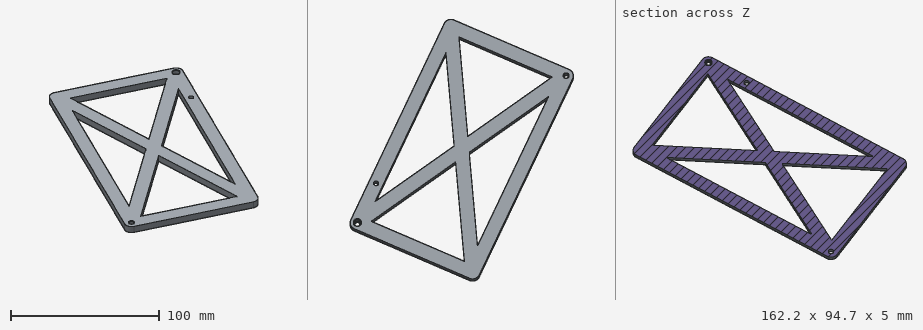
import cadquery as cq
import math

length = 162.2
width = 94.7
thickness = 5.0
corner_radius = 4.9

rim = 9.5
brace_width = 9.7

hole_inset = 4.9
hole_diameter = 3.2
counterbore_diameter = 4.7
counterbore_depth = 3.4
mouth_chamfer = 0.4
side_hole_spacing = 30.5

hole_x = length / 2 - hole_inset
hole_y = width / 2 - hole_inset

brace_angle = math.degrees(math.atan2(hole_y, hole_x))


def make_plate():
    plate = cq.Workplane("XY").box(length, width, thickness, centered=(True, True, False))
    return plate.edges("|Z").fillet(corner_radius)


def make_brace(angle):
    """Bar through the plate centre, long enough to run past the window corners."""
    brace = cq.Workplane("XY").box(2 * length, brace_width, thickness, centered=(True, True, False))
    return brace.rotate((0, 0, 0), (0, 0, 1), angle)


def make_windows():
    """Four triangular openings left between the rim and the braces."""
    windows = cq.Workplane("XY").box(
        length - 2 * rim, width - 2 * rim, thickness, centered=(True, True, False)
    )
    for angle in (brace_angle, -brace_angle):
        windows = windows.cut(make_brace(angle))
    return windows


def make_cylinder(x, y, diameter, bottom):
    """Vertical cylinder from the given height up to the top face."""
    base = cq.Workplane("XY", origin=(x, y, bottom))
    return base.circle(diameter / 2).extrude(thickness - bottom)


def make_mouth(x, y, diameter):
    """Cone that chamfers the top edge of a hole of the given diameter."""
    base = cq.Workplane("XY", origin=(x, y, thickness - mouth_chamfer))
    return base.circle(diameter / 2).extrude(mouth_chamfer, taper=-45)


def make_holes():
    """Counterbored and plain holes in opposite corners, both chamfered, and an unchamfered side hole."""
    counterbore_floor = thickness - counterbore_depth
    return [
        make_cylinder(-hole_x, hole_y, hole_diameter, 0),
        make_cylinder(-hole_x, hole_y, counterbore_diameter, counterbore_floor),
        make_mouth(-hole_x, hole_y, counterbore_diameter),
        make_cylinder(hole_x, -hole_y, hole_diameter, 0),
        make_mouth(hole_x, -hole_y, hole_diameter),
        make_cylinder(-hole_x + side_hole_spacing, hole_y, hole_diameter, 0),
    ]


result = make_plate().cut(make_windows())
for hole in make_holes():
    result = result.cut(hole)